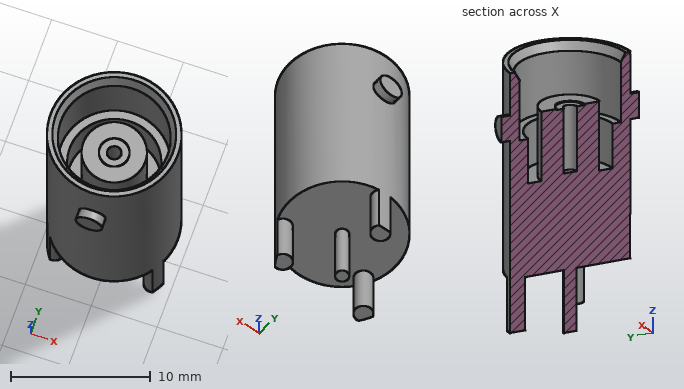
import cadquery as cq

total_height = 20.73
pin_length = 4.83
leg_length = 4.08
barrel_height = total_height - pin_length

barrel_radius = 4.83
bore_radius = 4.05
mouth_radius = 4.44
mouth_depth = 0.68
shoulder_depth = 5.29
lower_bore_radius = 3.38
floor_depth = 8.7

insulator_radius = 2.35
insulator_depth = 3.38
recess_radius = 1.1
recess_depth = 0.08
pin_radius = 0.508
socket_radius = pin_radius
socket_depth = 4.98

lug_radius = 1.0
lug_span = 11.03
lug_depth = 4.23

leg_radius = 0.73
leg_circle_radius = 4.31
leg_count = 3
first_leg_angle = 90.0


def cylinder(radius, bottom, top):
    """Upright cylinder on the barrel axis between two heights."""
    return cq.Workplane("XY").workplane(offset=bottom).circle(radius).extrude(top - bottom)


def make_bore():
    """Stepped bore with a conical mouth, made as one revolved solid."""
    floor = barrel_height - floor_depth
    shoulder = barrel_height - shoulder_depth
    profile = [
        (0, floor),
        (lower_bore_radius, floor),
        (lower_bore_radius, shoulder),
        (bore_radius, shoulder),
        (bore_radius, barrel_height - mouth_depth),
        (mouth_radius, barrel_height),
        (0, barrel_height),
    ]
    return cq.Workplane("XZ").polyline(profile).close().revolve(360, (0, 0), (0, 1))


def make_lugs():
    """Round bar through the barrel; its ends form the two lugs."""
    return (
        cq.Workplane("XZ")
        .center(0, barrel_height - lug_depth)
        .circle(lug_radius)
        .extrude(lug_span / 2, both=True)
    )


def make_insulator():
    """Insulator post with a shallow recess and a blind socket in its end."""
    top = barrel_height - insulator_depth
    recess_floor = top - recess_depth
    post = cylinder(insulator_radius, barrel_height - floor_depth, top)
    recess = cylinder(recess_radius, recess_floor, top)
    socket = cylinder(socket_radius, recess_floor - socket_depth, recess_floor)
    return post.cut(recess).cut(socket)


def make_legs():
    """Round legs below the barrel, with their outer sides flush with its wall."""
    legs = (
        cq.Workplane("XY")
        .polarArray(leg_circle_radius, first_leg_angle, 360, leg_count)
        .circle(leg_radius)
        .extrude(-leg_length)
    )
    return legs.intersect(cylinder(barrel_radius, -leg_length, 0))


barrel = cylinder(barrel_radius, 0, barrel_height).union(make_lugs()).cut(make_bore())
pin = cylinder(pin_radius, -pin_length, 0)

result = barrel.union(make_insulator()).union(pin).union(make_legs())